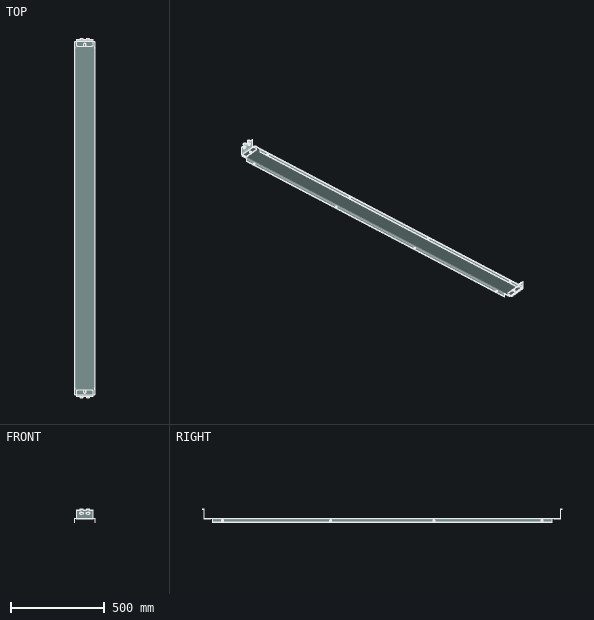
import cadquery as cq

WIDTH = 111.0
LENGTH = 1915.0
HEIGHT = 71.5
SHEET = 2.0

CHANNEL_HEIGHT = 22.0
WEB_LENGTH = 1884.0
WEB_CORNER_RADIUS = 8.0
FLANGE_LENGTH = 1810.0
FOLD_RADIUS = 3.0
RELIEF_LENGTH = 7.0
RELIEF_DEPTH = 1.5
FLANGE_HOLE_HEIGHT = 10.0
FLANGE_HOLE_DIAMETER = 8.5
FLANGE_HOLE_DISTANCES = (275.0, 850.0)

BRACKET_WIDTH = 90.0
PLATE_TOP = 65.0
PLATE_OUTER_FACE = 950.0
FOOT_END = 915.0
FOOT_CORNER_RADIUS = 8.0
BRACKET_BEND_RADIUS = 4.0

HOOK_SPACING = 34.0
HOOK_WIDTH = 16.5
HOOK_CORNER_RADIUS = 5.5
HOOK_BEND_RADIUS = 3.0

KEYHOLE_SPACING = 40.0
KEYHOLE_DIAMETER = 12.0
KEYHOLE_HEIGHT = 49.0
KEYHOLE_SLOT_WIDTH = 6.0
KEYHOLE_SLOT_END = 8.5

SLOT_LENGTH = 17.0
SLOT_WIDTH = 9.0
SLOT_DISTANCE = 923.0

WEB_UNDERSIDE = CHANNEL_HEIGHT - SHEET
FOOT_UNDERSIDE = WEB_UNDERSIDE - SHEET
PLATE_INNER_FACE = PLATE_OUTER_FACE - SHEET
HOOK_TIP = LENGTH / 2
BOTH_SIDES = (-1, 1)


def folded_block(width, height, radius):
    """Return a block as long as the flanges, with its upper long edges rounded."""
    return (
        cq.Workplane("XY")
        .box(width, FLANGE_LENGTH, height, centered=(True, True, False))
        .edges("|Y and >Z")
        .fillet(radius)
    )


def flanged_length():
    """Return the stretch of channel that has side flanges, with the flange holes."""
    outside = folded_block(WIDTH, CHANNEL_HEIGHT, FOLD_RADIUS)
    inside = folded_block(WIDTH - 2 * SHEET, WEB_UNDERSIDE, FOLD_RADIUS - SHEET)
    hole_places = [(side * y, FLANGE_HOLE_HEIGHT) for side in BOTH_SIDES for y in FLANGE_HOLE_DISTANCES]
    holes = (
        cq.Workplane("YZ")
        .pushPoints(hole_places)
        .circle(FLANGE_HOLE_DIAMETER / 2)
        .extrude(WIDTH, both=True)
    )
    return outside.cut(inside).cut(holes)


def web_ends():
    """Return the flat, round-cornered ends of the web, notched where the flanges begin."""
    web = (
        cq.Workplane("XY", origin=(0, 0, WEB_UNDERSIDE))
        .rect(WIDTH, WEB_LENGTH)
        .extrude(SHEET)
        .edges("|Z")
        .fillet(WEB_CORNER_RADIUS)
    )
    middle = cq.Workplane("XY").rect(WIDTH, FLANGE_LENGTH).extrude(CHANNEL_HEIGHT)
    reliefs = (
        cq.Workplane("XY")
        .rarray(WIDTH, FLANGE_LENGTH + RELIEF_LENGTH, 2, 2)
        .rect(2 * RELIEF_DEPTH, RELIEF_LENGTH)
        .extrude(CHANNEL_HEIGHT)
    )
    return web.cut(middle).cut(reliefs)


def foot_and_plate():
    """Return the bent sheet of the +Y bracket, with rounded foot corners."""
    inner_radius = BRACKET_BEND_RADIUS - SHEET
    bend_y = PLATE_OUTER_FACE - BRACKET_BEND_RADIUS
    bend_z = FOOT_UNDERSIDE + BRACKET_BEND_RADIUS
    return (
        cq.Workplane("YZ")
        .moveTo(FOOT_END, FOOT_UNDERSIDE)
        .lineTo(bend_y, FOOT_UNDERSIDE)
        .radiusArc((PLATE_OUTER_FACE, bend_z), -BRACKET_BEND_RADIUS)
        .lineTo(PLATE_OUTER_FACE, PLATE_TOP)
        .lineTo(PLATE_INNER_FACE, PLATE_TOP)
        .lineTo(PLATE_INNER_FACE, bend_z)
        .radiusArc((bend_y, WEB_UNDERSIDE), inner_radius)
        .lineTo(FOOT_END, WEB_UNDERSIDE)
        .close()
        .extrude(BRACKET_WIDTH / 2, both=True)
        .edges("|Z and <Y")
        .fillet(FOOT_CORNER_RADIUS)
    )


def hook(x):
    """Return one tongue that rises from the plate at x and curls outward."""
    outer_radius = HOOK_BEND_RADIUS + SHEET
    bend_y = PLATE_INNER_FACE + outer_radius
    bend_z = HEIGHT - outer_radius
    root = PLATE_TOP - SHEET
    tongue = (
        cq.Workplane("YZ", origin=(x - HOOK_WIDTH / 2, 0, 0))
        .moveTo(PLATE_INNER_FACE, root)
        .lineTo(PLATE_INNER_FACE, bend_z)
        .radiusArc((bend_y, HEIGHT), outer_radius)
        .lineTo(HOOK_TIP, HEIGHT)
        .lineTo(HOOK_TIP, HEIGHT - SHEET)
        .lineTo(bend_y, HEIGHT - SHEET)
        .radiusArc((PLATE_OUTER_FACE, bend_z), -HOOK_BEND_RADIUS)
        .lineTo(PLATE_OUTER_FACE, root)
        .close()
        .extrude(HOOK_WIDTH)
    )
    outline = (
        cq.Workplane("XY")
        .center(x, PLATE_INNER_FACE)
        .rect(HOOK_WIDTH, 2 * (HOOK_TIP - PLATE_INNER_FACE))
        .extrude(HEIGHT)
        .edges("|Z")
        .fillet(HOOK_CORNER_RADIUS)
    )
    return tongue.intersect(outline)


def keyhole(side):
    """Return the cutter for the keyhole on one side of the plate."""
    hole_x = side * KEYHOLE_SPACING / 2
    slot_end_x = side * KEYHOLE_SLOT_END
    depth = HOOK_TIP - FOOT_END
    round_hole = (
        cq.Workplane("XZ", origin=(hole_x, HOOK_TIP, KEYHOLE_HEIGHT))
        .circle(KEYHOLE_DIAMETER / 2)
        .extrude(depth)
    )
    slot = (
        cq.Workplane("XZ", origin=((hole_x + slot_end_x) / 2, HOOK_TIP, KEYHOLE_HEIGHT))
        .rect(abs(hole_x - slot_end_x), KEYHOLE_SLOT_WIDTH)
        .extrude(depth)
    )
    return round_hole.union(slot)


def bracket():
    """Return the complete bracket for the +Y end."""
    body = foot_and_plate()
    for side in BOTH_SIDES:
        body = body.union(hook(side * HOOK_SPACING / 2))
        body = body.cut(keyhole(side))
    return body


def mounting_slots():
    """Return the cutter for the slots at both ends."""
    return (
        cq.Workplane("XY")
        .pushPoints([(0, side * SLOT_DISTANCE) for side in BOTH_SIDES])
        .slot2D(SLOT_LENGTH, SLOT_WIDTH, 90)
        .extrude(CHANNEL_HEIGHT)
    )


channel = flanged_length().union(web_ends())
far_bracket = bracket()
near_bracket = far_bracket.mirror("XZ")
result = channel.union(far_bracket).union(near_bracket).cut(mounting_slots())